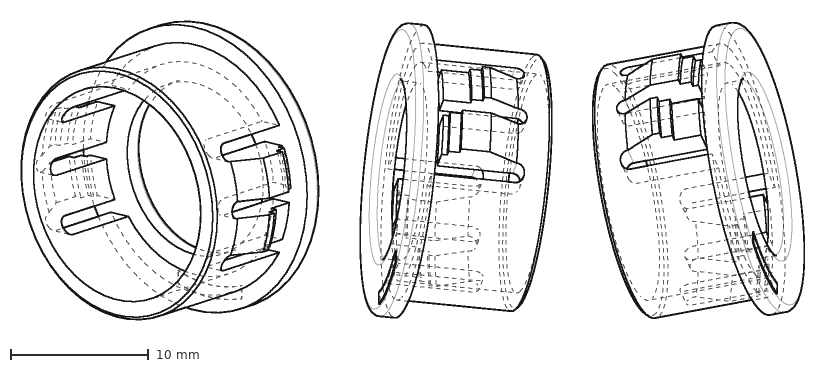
import cadquery as cq


flange_radius = 10.7
flange_front = 8.71
flange_thickness = 1.6
flange_back = flange_front + flange_thickness
opening_radius = 6.49
back_fillet = 0.5

pad_height = 0.06
pad_inner_radius = 9.12
pad_outer_radius = 10.06
pad_width = 6.08

barrel_radius = 9.38
bore_radius = 7.99
rim_chamfer = 0.24

slot_width = 1.26
slot_spacing = 4.17
slot_round_center = 2.53
window_half_height = slot_spacing + slot_width / 2
tab_height = slot_spacing - slot_width
tab_center_z = slot_spacing / 2

tab_radius = 10.51
tab_tip = 8.11
ramp_end = 4.75
step_drop = 0.5
step_length = 0.81
late_step_start = 6.9
early_step_start = 5.29


def cylinder(radius, start, end):
    """Solid cylinder on the Y axis between two Y positions."""
    return cq.Workplane("XZ", origin=(0, start, 0)).circle(radius).extrude(start - end)


def side_block(height, center_z, start, end, side):
    """Block reaching from the axis past the flange on one side (+1 or -1) of X."""
    block = cq.Workplane("XY").box(flange_radius, end - start, height)
    return block.translate((side * flange_radius / 2, (start + end) / 2, center_z))


def make_body():
    """Hollow barrel with its flange."""
    opening = cylinder(opening_radius, flange_front, flange_back)
    flange = cylinder(flange_radius, flange_front, flange_back).cut(opening)
    flange = flange.faces(">Y").edges().fillet(back_fillet)
    barrel = cylinder(barrel_radius, 0, flange_front).faces("<Y").edges().chamfer(rim_chamfer)
    bore = cylinder(bore_radius, 0, flange_front)
    return barrel.cut(bore).union(flange)


def cut_windows(body):
    """Open both sides of the barrel, with a rounded slot end beside each tab."""
    window_length = flange_front - slot_round_center
    window = cq.Workplane("XY").box(2 * flange_radius, window_length, 2 * window_half_height)
    body = body.cut(window.translate((0, slot_round_center + window_length / 2, 0)))
    slot_ends = (
        cq.Workplane("YZ", origin=(-flange_radius, 0, 0))
        .pushPoints([(slot_round_center, z) for z in (-slot_spacing, 0, slot_spacing)])
        .circle(slot_width / 2)
        .extrude(2 * flange_radius)
    )
    return body.cut(slot_ends)


def make_tab(side, level, step_start):
    """Spring tab on one side of X, above (+1) or below (-1) the middle slot."""
    first_step_radius = tab_radius - step_drop
    second_step_radius = first_step_radius - step_drop
    step_end = step_start + step_length
    ring = (
        cq.Workplane("XY")
        .polyline([
            (bore_radius, slot_round_center),
            (barrel_radius, slot_round_center),
            (tab_radius, ramp_end),
            (tab_radius, step_start),
            (first_step_radius, step_start),
            (first_step_radius, step_end),
            (second_step_radius, step_end),
            (second_step_radius, tab_tip),
            (bore_radius, tab_tip),
        ])
        .close()
        .revolve(360, (0, 0, 0), (0, 1, 0))
    )
    return ring.intersect(side_block(tab_height, level * tab_center_z, slot_round_center, tab_tip, side))


def make_pad():
    """Arc-shaped pad standing off the back face of the flange."""
    pad_back = flange_back + pad_height
    outer_disc = cylinder(pad_outer_radius, flange_back, pad_back)
    inner_disc = cylinder(pad_inner_radius, flange_back, pad_back)
    ring = outer_disc.cut(inner_disc)
    sector = cq.Workplane("XY").box(pad_width, pad_height, flange_radius)
    return ring.intersect(sector.translate((0, flange_back + pad_height / 2, -flange_radius / 2)))


result = cut_windows(make_body()).union(make_pad())
for side in (-1, 1):
    for level in (-1, 1):
        step_start = late_step_start if side == level else early_step_start
        result = result.union(make_tab(side, level, step_start))